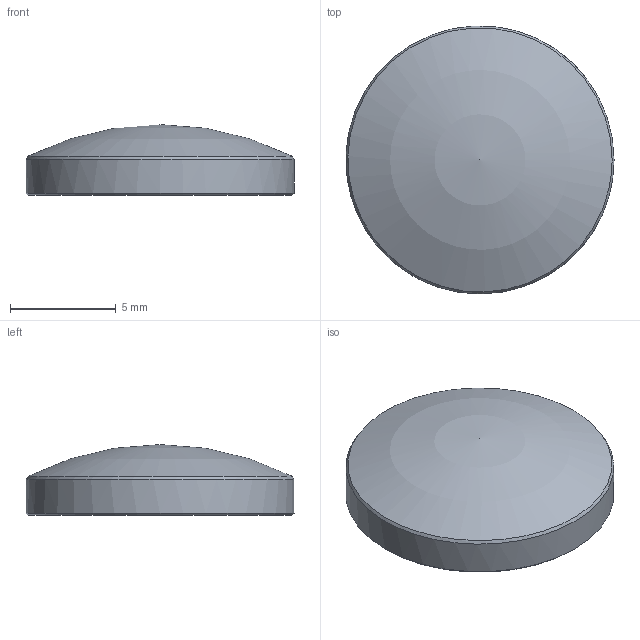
import cadquery as cq
import math

diameter = 12.7
center_thickness = 3.35
edge_thickness = 1.8
edge_chamfer = 0.1

rim_radius = diameter / 2
dome_sag = center_thickness - edge_thickness
dome_radius = (rim_radius**2 + dome_sag**2) / (2 * dome_sag)


def dome_height(radius):
    """Height of the spherical face at a given distance from the axis."""
    sag = dome_radius - math.sqrt(dome_radius**2 - radius**2)
    return center_thickness - sag


def sharp_lens():
    """Lens with unbroken edges: its half section revolved about Z."""
    mid_radius = rim_radius / 2
    half_section = (
        cq.Workplane("XZ")
        .lineTo(rim_radius, 0)
        .lineTo(rim_radius, edge_thickness)
        .threePointArc((mid_radius, dome_height(mid_radius)), (0, center_thickness))
        .close()
    )
    return half_section.revolve(360, (0, 0, 0), (0, 1, 0))


result = sharp_lens().faces("%CYLINDER").edges("%CIRCLE").chamfer(edge_chamfer)